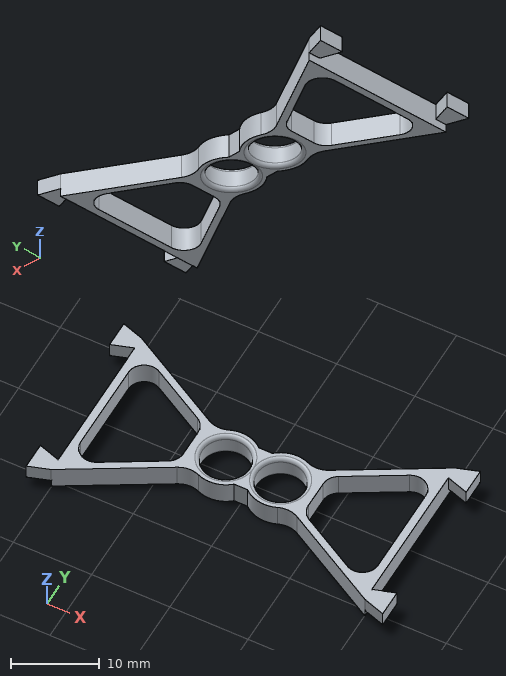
import cadquery as cq
import math

thickness = 3.0
lug_thickness = 2.0

bore_diameter = 6.0
ring_spacing = 7.0
ring_diameter = 8.0
bore_edge_radius = 0.5
bridge_width = 6.0
ring_x = ring_spacing / 2

frame_end_x = 20.05
arm_width = 0.95
arm_angle = math.radians(29.4)
pocket_inner_x = 8.0
pocket_outer_x = 19.0
pocket_corner_radius = 2.0
arm_fillet_radius = 3.0

lug_end_x = 22.8
lug_center_y = 10.0
lug_tip_width = 3.45
lug_root_width = 1.65
frame_half_width = lug_center_y + lug_root_width / 2


def arm_edge_y(x):
    """Half width of the tapering frame at distance x from the center."""
    return frame_half_width - (frame_end_x - x) * math.tan(arm_angle)


def trapezoid(inner_x, outer_x, inset):
    """Tapering block whose sloped sides lie `inset` inside the outer arm edges."""
    drop = inset / math.cos(arm_angle)
    inner_y = arm_edge_y(inner_x) - drop
    outer_y = arm_edge_y(outer_x) - drop
    points = [(inner_x, -inner_y), (outer_x, -outer_y), (outer_x, outer_y), (inner_x, inner_y)]
    return cq.Workplane("XY").polyline(points).close().extrude(thickness)


def frame_with_ring():
    """Frame on the +X side, blended into its ring and opened by a rounded pocket."""
    ring = cq.Workplane("XY").center(ring_x, 0).circle(ring_diameter / 2).extrude(thickness)
    body = trapezoid(ring_x, frame_end_x, 0).union(ring)
    junctions = cq.selectors.BoxSelector(
        (ring_x, -ring_diameter / 2, 0), (pocket_inner_x, ring_diameter / 2, thickness)
    )
    body = body.edges("|Z").edges(junctions).edges("<Y or >Y").fillet(arm_fillet_radius)
    pocket = trapezoid(pocket_inner_x, pocket_outer_x, arm_width)
    return body.cut(pocket.edges("|Z").fillet(pocket_corner_radius))


def lug(side):
    """Dovetail-shaped lug on the +X frame, flush with the top face."""
    root = lug_root_width / 2
    tip = lug_tip_width / 2
    y = side * lug_center_y
    points = [
        (frame_end_x, y - root),
        (lug_end_x, y - tip),
        (lug_end_x, y + tip),
        (frame_end_x, y + root),
    ]
    base = cq.Workplane("XY").workplane(offset=thickness - lug_thickness)
    return base.polyline(points).close().extrude(lug_thickness)


def bore(x):
    """Through bore with both rims rounded."""
    radius = bore_diameter / 2
    rim_radius = radius + bore_edge_radius
    arc_sag = bore_edge_radius * (1 - math.sqrt(0.5))
    tool = (
        cq.Workplane("XZ")
        .lineTo(rim_radius, 0)
        .threePointArc((radius + arc_sag, arc_sag), (radius, bore_edge_radius))
        .lineTo(radius, thickness - bore_edge_radius)
        .threePointArc((radius + arc_sag, thickness - arc_sag), (rim_radius, thickness))
        .lineTo(0, thickness)
        .close()
        .revolve(360, (0, 0), (0, 1))
    )
    return tool.translate((x, 0, 0))


half = frame_with_ring()
for side in (-1, 1):
    half = half.union(lug(side))

bridge = cq.Workplane("XY").rect(ring_spacing, bridge_width).extrude(thickness)
result = half.union(half.mirror("YZ")).union(bridge)
for x in (-ring_x, ring_x):
    result = result.cut(bore(x))